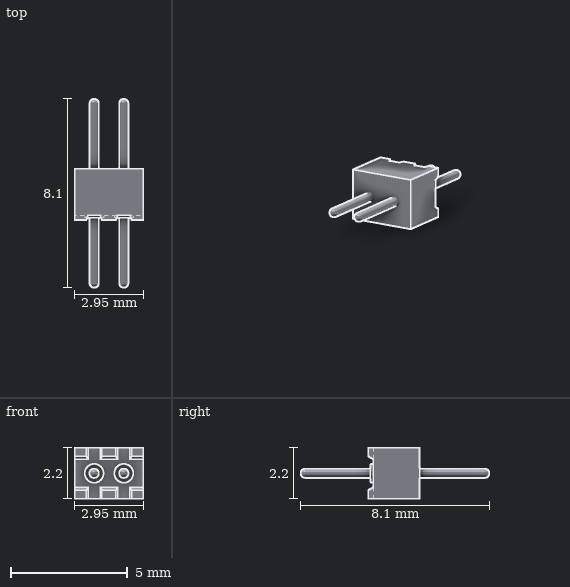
import cadquery as cq

length = 8.1
body_width = 2.95
body_depth = 2.2
body_height = 2.2
body_front = -1.15
body_back = body_front + body_depth

pin_pitch = 1.27
pin_radius = 0.2
flare_radius = 0.05
pin_positions = (-pin_pitch / 2, pin_pitch / 2)

channel_depth = 0.22
slot_floor_width = 0.51
slot_mouth_width = 0.67
corridor_floor_height = 1.19
corridor_mouth_height = 1.45
channel_floor = body_front + channel_depth

collar_radius = 0.405
collar_height = 0.12
collar_rounding = 0.065
collar_face = channel_floor - collar_height


def channel_profile(plane, floor_size, mouth_size):
    """Trapezoid, widening from the channel floor to the front face."""
    corners = [
        (-floor_size / 2, channel_floor),
        (floor_size / 2, channel_floor),
        (mouth_size / 2, body_front),
        (-mouth_size / 2, body_front),
    ]
    if plane == "YZ":
        corners = [(y, z) for z, y in corners]
    return cq.Workplane(plane).polyline(corners).close()


def make_body():
    body = cq.Workplane("XY").box(body_width, body_depth, body_height)
    body = body.translate((0, (body_front + body_back) / 2, 0))
    corridor = channel_profile("YZ", corridor_floor_height, corridor_mouth_height)
    body = body.cut(corridor.extrude(body_width / 2, both=True))
    slot = channel_profile("XY", slot_floor_width, slot_mouth_width).extrude(body_height / 2, both=True)
    for x in pin_positions:
        body = body.cut(slot.translate((x, 0, 0)))
    return body


def make_collar():
    collar = cq.Workplane("XZ", origin=(0, channel_floor, 0)).circle(collar_radius).extrude(collar_height)
    return collar.faces("<Y").edges().fillet(collar_rounding)


def make_pin():
    """Pin with hemispherical ends and a flare at the collar and the back face."""
    tip = length / 2
    dome_start = tip - pin_radius
    dome_mid = pin_radius * 0.5 ** 0.5
    flare_outer = pin_radius + flare_radius
    flare_mid = flare_radius * (1 - 0.5 ** 0.5)
    return (
        cq.Workplane("XY")
        .moveTo(0, -tip)
        .threePointArc((dome_mid, -dome_start - dome_mid), (pin_radius, -dome_start))
        .lineTo(pin_radius, collar_face - flare_radius)
        .threePointArc((pin_radius + flare_mid, collar_face - flare_mid), (flare_outer, collar_face))
        .lineTo(flare_outer, body_back)
        .threePointArc((pin_radius + flare_mid, body_back + flare_mid), (pin_radius, body_back + flare_radius))
        .lineTo(pin_radius, dome_start)
        .threePointArc((dome_mid, dome_start + dome_mid), (0, tip))
        .close()
        .revolve(360, (0, 0, 0), (0, 1, 0))
    )


contact = make_collar().union(make_pin())
result = make_body()
for pin_x in pin_positions:
    result = result.union(contact.translate((pin_x, 0, 0)))